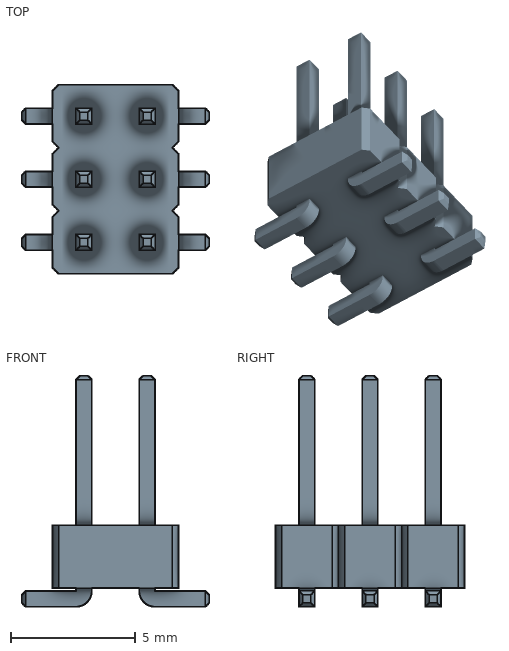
import cadquery as cq

PITCH = 2.54
COLUMNS = 2
ROWS = 3

TOTAL_HEIGHT = 9.3
FOOT_SPAN = 7.54

BODY_X = COLUMNS * PITCH
BODY_Y = ROWS * PITCH
BODY_HEIGHT = PITCH
BODY_BOTTOM = 0.75
NOTCH = 0.25

PIN = 0.64
TIP_LENGTH = 0.16
TIP_INSET = 0.16
BEND_RADIUS = PIN


def make_body():
    """Block with chamfered vertical corners and V notches between the rows."""
    body = cq.Workplane("XY").box(BODY_X, BODY_Y, BODY_HEIGHT, centered=(True, True, False))
    body = body.edges("|Z").chamfer(NOTCH)
    for boundary in range(1, ROWS):
        y = -BODY_Y / 2 + boundary * PITCH
        for side in (-1, 1):
            edge_x = side * BODY_X / 2
            notch = (
                cq.Workplane("XY")
                .moveTo(edge_x, y - NOTCH)
                .lineTo(edge_x - side * NOTCH, y)
                .lineTo(edge_x, y + NOTCH)
                .close()
                .extrude(BODY_HEIGHT)
            )
            body = body.cut(notch)
    return body.translate((0, 0, BODY_BOTTOM))


def add_tip(pin, face):
    """Extend a square pin end with a tapered tip."""
    end_size = PIN - 2 * TIP_INSET
    return (
        pin.faces(face)
        .workplane(centerOption="CenterOfMass")
        .rect(PIN, PIN)
        .workplane(offset=TIP_LENGTH)
        .rect(end_size, end_size)
        .loft(combine=True)
    )


def make_right_pin():
    """L-shaped pin at the +X column: upright post and a foot pointing to +X."""
    inner_x = PITCH / 2 - PIN / 2
    outer_x = inner_x + PIN
    post_top = TOTAL_HEIGHT - TIP_LENGTH
    foot_end = FOOT_SPAN / 2 - TIP_LENGTH
    pin = (
        cq.Workplane("XZ")
        .moveTo(inner_x, post_top)
        .lineTo(inner_x, BEND_RADIUS)
        .radiusArc((inner_x + BEND_RADIUS, 0), -BEND_RADIUS)
        .lineTo(foot_end, 0)
        .lineTo(foot_end, PIN)
        .lineTo(outer_x, PIN)
        .lineTo(outer_x, post_top)
        .close()
        .extrude(PIN / 2, both=True)
    )
    return add_tip(add_tip(pin, ">Z"), ">X")


right_pin = make_right_pin()
left_pin = right_pin.mirror("YZ")

result = make_body()
for row in range(ROWS):
    row_y = (row - (ROWS - 1) / 2) * PITCH
    for pin in (left_pin, right_pin):
        result = result.union(pin.translate((0, row_y, 0)))